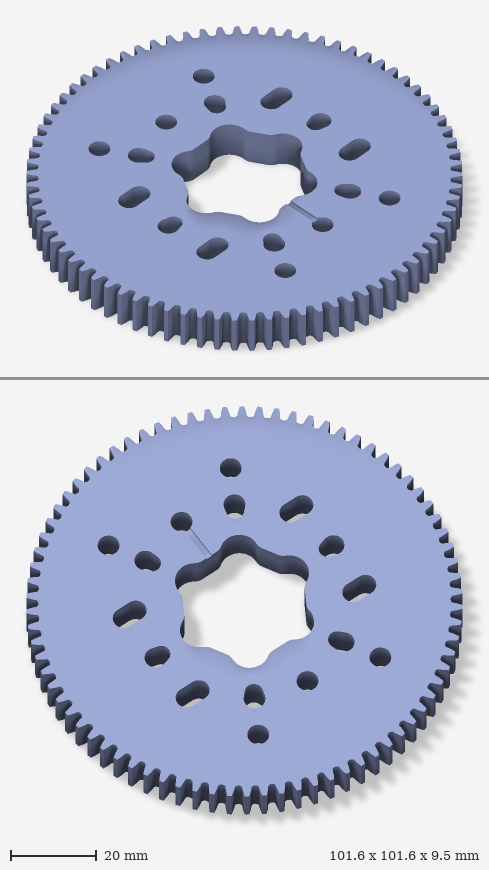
import cadquery as cq
import math

tooth_count = 78
outer_diameter = 101.6
pressure_angle = math.radians(14.5)
module = outer_diameter / (tooth_count + 2)
dedendum_ratio = 1.2
backlash = 0.2
root_round_height = 0.4
flank_steps = 6
thickness = 9.5

bore_sides = 6
bore_across_flats = 28.5
lobe_center_radius = 12.8
lobe_diameter = 9.1
bore_corner_fillet = 2.8

bolt_diameter = 5.1
inner_bolt_radius = 25.4
outer_bolt_radius = 34.8

small_hole_diameter = 4.3
small_hole_radius = 23.8

slot_length = 8.5
slot_width = bolt_diameter
slot_x = 12.7
slot_y = 23.8

groove_width = 1.5
groove_depth = 0.5

pitch_radius = module * tooth_count / 2
tip_radius = outer_diameter / 2
root_radius = pitch_radius - dedendum_ratio * module
flank_start_radius = root_radius + root_round_height
base_radius = pitch_radius * math.cos(pressure_angle)
tooth_pitch_angle = 2 * math.pi / tooth_count


def polar(radius, angle):
    return (radius * math.cos(angle), radius * math.sin(angle))


def distance_from_axis(edge):
    return math.hypot(edge.Center().x, edge.Center().y)


def involute_angle(radius):
    """Polar angle of the involute, measured from its start on the base circle."""
    roll = math.sqrt((radius / base_radius) ** 2 - 1)
    return roll - math.atan(roll)


def half_tooth_angle(radius):
    """Half the angle that a tooth fills at the given radius."""
    half_angle_at_pitch = (math.pi * module / 2 - backlash) / (2 * pitch_radius)
    return half_angle_at_pitch + involute_angle(pitch_radius) - involute_angle(radius)


def make_gear_blank():
    rise = tip_radius - flank_start_radius
    flank_radii = [flank_start_radius + rise * i / flank_steps for i in range(flank_steps + 1)]
    start_half_angle = half_tooth_angle(flank_start_radius)
    first_tooth = math.pi / 2
    outline = cq.Workplane("XY").moveTo(*polar(flank_start_radius, first_tooth - start_half_angle))
    for tooth in range(tooth_count):
        center = first_tooth + tooth * tooth_pitch_angle
        rising = [polar(r, center - half_tooth_angle(r)) for r in flank_radii]
        falling = [polar(r, center + half_tooth_angle(r)) for r in reversed(flank_radii)]
        outline = outline.spline(rising[1:], includeCurrent=True)
        outline = outline.threePointArc(polar(tip_radius, center), falling[0])
        outline = outline.spline(falling[1:], includeCurrent=True)
        gap_center = center + tooth_pitch_angle / 2
        next_start = center + tooth_pitch_angle - start_half_angle
        outline = outline.threePointArc(
            polar(root_radius, gap_center), polar(flank_start_radius, next_start)
        )
    return outline.close().extrude(thickness)


def make_holes(points, diameter):
    return cq.Workplane("XY").pushPoints(points).circle(diameter / 2).extrude(thickness)


def make_bore():
    side_angle = 2 * math.pi / bore_sides
    first_corner = side_angle / 2
    across_corners = bore_across_flats / math.cos(side_angle / 2)
    hexagon = cq.Workplane("XY").polygon(bore_sides, across_corners).extrude(thickness)
    hexagon = hexagon.rotate((0, 0, 0), (0, 0, 1), math.degrees(first_corner))
    lobe_points = [polar(lobe_center_radius, first_corner + i * side_angle) for i in range(bore_sides)]
    bore = hexagon.union(make_holes(lobe_points, lobe_diameter))
    corners = bore.edges("|Z").filter(lambda edge: distance_from_axis(edge) < across_corners / 2)
    return corners.fillet(bore_corner_fillet)


def make_tapered_hole(angle):
    """Two circles and their outer tangents, lying along the given direction."""
    large_radius = bolt_diameter / 2
    small_radius = small_hole_diameter / 2
    tangent_angle = math.acos((large_radius - small_radius) / (inner_bolt_radius - small_hole_radius))
    large_x = inner_bolt_radius - large_radius * math.cos(tangent_angle)
    small_x = small_hole_radius - small_radius * math.cos(tangent_angle)
    large_y = large_radius * math.sin(tangent_angle)
    small_y = small_radius * math.sin(tangent_angle)
    hole = (
        cq.Workplane("XY")
        .moveTo(small_x, small_y)
        .lineTo(large_x, large_y)
        .threePointArc((inner_bolt_radius + large_radius, 0), (large_x, -large_y))
        .lineTo(small_x, -small_y)
        .threePointArc((small_hole_radius - small_radius, 0), (small_x, small_y))
        .close()
        .extrude(thickness)
    )
    return hole.rotate((0, 0, 0), (0, 0, 1), math.degrees(angle))


def make_slots():
    slot_points = [(x, y) for x in (-slot_x, slot_x) for y in (-slot_y, slot_y)]
    slots = cq.Workplane("XY").pushPoints(slot_points)
    return slots.slot2D(slot_length, slot_width, 90).extrude(thickness)


def make_groove():
    groove_floor = cq.Workplane("XY").workplane(offset=thickness - groove_depth)
    groove_outline = groove_floor.center(inner_bolt_radius / 2, 0).rect(inner_bolt_radius, groove_width)
    return groove_outline.extrude(groove_depth)


side_angles = [math.radians(a) for a in (30, 150, 210, 330)]
tapered_angles = side_angles + [math.pi / 2, -math.pi / 2]
bolt_points = [(-inner_bolt_radius, 0), (inner_bolt_radius, 0)]
bolt_points += [polar(outer_bolt_radius, a) for a in side_angles]

result = (
    make_gear_blank()
    .cut(make_bore())
    .cut(make_holes(bolt_points, bolt_diameter))
    .cut(make_slots())
    .cut(make_groove())
)
for tapered_angle in tapered_angles:
    result = result.cut(make_tapered_hole(tapered_angle))